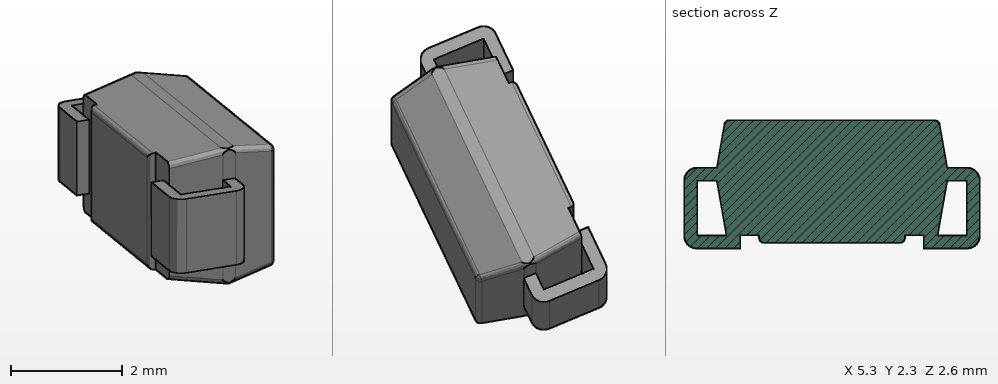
import cadquery as cq
import math

lead_span = 5.3
total_depth = 2.3

body_length = 4.135
body_height = 2.6
draft_angle = 10.0
edge_radius = 0.1

lead_thickness = 0.24
lead_width = 1.42
foot_length = 1.005
lead_back = 1.45

pad_length = 2.62
pad_front = 0.1

body_front = lead_thickness
band_front = lead_back - lead_thickness
band_back = lead_back


def box_between(length, height, y_start, y_end):
    """Box centred in X and Z, reaching from y_start to y_end."""
    return cq.Workplane("XY").box(length, y_end - y_start, height).translate((0, (y_start + y_end) / 2, 0))


def inset_at(distance):
    """Inward shift of a drafted wall at this distance from the parting band."""
    return distance * math.tan(math.radians(draft_angle))


def drafted_block(band_edge, small_end, large_end):
    """Pyramid frustum with rounded sloping edges and full body size at band_edge."""
    direction = math.copysign(1, large_end - small_end)

    def section(y):
        inset = inset_at((band_edge - y) * direction)
        return cq.Wire.makePolygon(
            [
                cq.Vector(side_x * (body_length / 2 - inset), y, side_z * (body_height / 2 - inset))
                for side_x, side_z in ((-1, -1), (1, -1), (1, 1), (-1, 1))
            ],
            close=True,
        )

    solid = cq.Solid.makeLoft([section(small_end), section(large_end)], True)
    return cq.Workplane("XY").add(solid).edges("not(#Y)").fillet(edge_radius)


def make_body():
    front_half = drafted_block(band_front, body_front, total_depth)
    back_half = drafted_block(band_back, total_depth, body_front).faces(">Y").edges().fillet(edge_radius)
    band = box_between(body_length, body_height, body_front, total_depth)
    return front_half.intersect(back_half).intersect(band)


def make_pad():
    pad = cq.Workplane("YZ").polyline(
        [
            (y, side * (body_height / 2 - inset_at(band_front - y)))
            for y, side in ((pad_front, -1), (body_front, -1), (body_front, 1), (pad_front, 1))
        ]
    ).close().extrude(pad_length / 2, both=True)
    return pad.faces("<Y").edges().fillet(edge_radius)


def make_leads():
    outer = box_between(lead_span, lead_width, 0, lead_back).edges("|Z").fillet(lead_thickness)
    opening = box_between(lead_span - 2 * lead_thickness, lead_width, lead_thickness, band_front)
    foot_gap = box_between(lead_span - 2 * foot_length, lead_width, 0, lead_thickness)
    return outer.cut(opening).cut(foot_gap)


result = make_body().union(make_pad()).union(make_leads()).clean()